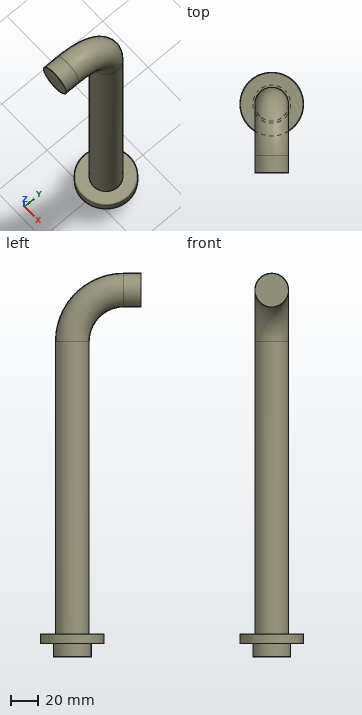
import cadquery as cq

total_height = 283.2
total_depth = 74.2

flange_diameter = 47.0
flange_thickness = 7.0
flange_edge_round = 0.5
spigot_diameter = 28.0
spigot_height = 10.0

pipe_diameter = 25.0
bend_radius = 38.0

flange_top = spigot_height + flange_thickness
outlet_axis_height = total_height - pipe_diameter / 2
bend_start_height = outlet_axis_height - bend_radius
outlet_reach = total_depth - flange_diameter / 2


def make_base():
    """Spigot and flange, with the upper flange rim rounded."""
    spigot = cq.Workplane("XY").circle(spigot_diameter / 2).extrude(spigot_height)
    flange = (
        cq.Workplane("XY")
        .workplane(offset=spigot_height)
        .circle(flange_diameter / 2)
        .extrude(flange_thickness)
        .faces(">Z")
        .edges()
        .fillet(flange_edge_round)
    )
    return spigot.union(flange)


def make_pipe():
    """Upright solid pipe, a quarter bend and a short outlet toward -Y."""
    upright = (
        cq.Workplane("XY")
        .workplane(offset=flange_top)
        .circle(pipe_diameter / 2)
        .extrude(bend_start_height - flange_top)
    )
    bend = (
        cq.Workplane("XY")
        .workplane(offset=bend_start_height)
        .circle(pipe_diameter / 2)
        .revolve(90, (0, -bend_radius, 0), (1, -bend_radius, 0))
    )
    outlet = (
        cq.Workplane("XZ", origin=(0, -bend_radius, outlet_axis_height))
        .circle(pipe_diameter / 2)
        .extrude(outlet_reach - bend_radius)
    )
    return upright.union(bend).union(outlet)


result = make_base().union(make_pipe())